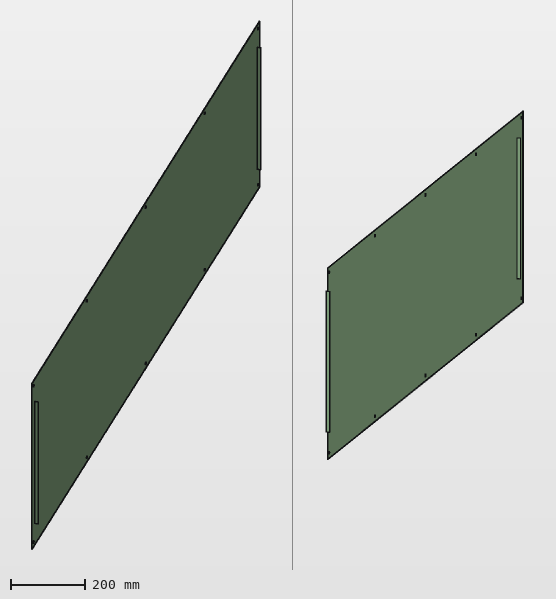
import cadquery as cq

depth = 12.0
width = 1917.0
height = 530.0
sheet_thickness = 2.0

hole_diameter = 7.0
hole_edge_margin = 15.0
hole_pitch = 496.0
end_hole_margin = 13.5

rib_thickness = 2.0
rib_length = 390.0
rib_end_margin = 20.5


def make_sheet():
    """Upright sheet with its front face at X = 0, centred in Y and Z."""
    sheet = cq.Workplane("XY").box(sheet_thickness, width, height, centered=(False, True, True))
    row_z = height / 2 - hole_edge_margin
    end_y = width / 2 - end_hole_margin
    centres = []
    for y in (-end_y, -hole_pitch, 0, hole_pitch, end_y):
        for z in (-row_z, row_z):
            centres.append((y, z))
    holes = cq.Workplane("YZ").pushPoints(centres).circle(hole_diameter / 2).extrude(sheet_thickness)
    return sheet.cut(holes)


def make_rib(side):
    """Upright rib at the +Y end (side = 1) or the -Y end (side = -1)."""
    rib_y = side * (width / 2 - rib_end_margin - rib_thickness / 2)
    rib = cq.Workplane("XY").box(depth, rib_thickness, rib_length, centered=(False, True, True))
    return rib.translate((0, rib_y, 0))


result = make_sheet()
for side in (-1, 1):
    result = result.union(make_rib(side))